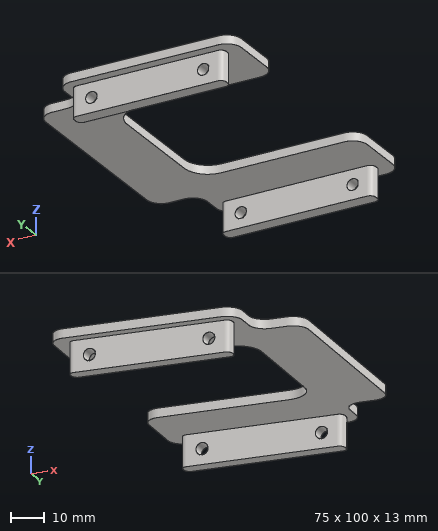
import cadquery as cq

length_x = 75.0
length_y = 100.0
plate_thickness = 3.0
arm_length = 60.0
spine_width_y = 70.0
corner_radius = 5.0

opening_depth = 54.8
opening_width = 50.0
opening_radius = 8.0

flange_length = 51.6
flange_thickness = 4.6
flange_height = 10.0
flange_radius = 1.8
flange_start = 5.2
flange_inset = 3.2

hole_diameter = 3.8
hole_spacing = 38.0
hole_depth_below_plate = 5.0
hole_start = 12.0

left = -length_x / 2


def make_plate():
    """Stepped C-shaped plate with rounded corners."""
    arms = cq.Workplane("XY").box(arm_length, length_y, plate_thickness, centered=(False, True, False))
    spine = cq.Workplane("XY").box(length_x, spine_width_y, plate_thickness, centered=(False, True, False))
    opening = cq.Workplane("XY").box(opening_depth, opening_width, plate_thickness, centered=(False, True, False))
    plate = arms.union(spine).edges("|Z and (not <X)").fillet(corner_radius)
    opening = opening.edges("|Z and >X").fillet(opening_radius)
    plate = plate.cut(opening).edges("|Z and <X").fillet(corner_radius)
    return plate.translate((left, 0, 0))


def make_flange(side):
    """Rounded flange below one arm; side is +1 for +Y and -1 for -Y."""
    center_x = left + flange_start + flange_length / 2
    center_y = side * (length_y / 2 - flange_inset - flange_thickness / 2)
    return (
        cq.Workplane("XY")
        .box(flange_length, flange_thickness, flange_height, centered=(True, True, False))
        .edges("|Z")
        .fillet(flange_radius)
        .translate((center_x, center_y, -flange_height))
    )


def make_hole(index):
    """Cutter along Y that drills both flanges at one hole position."""
    x = left + hole_start + index * hole_spacing
    return (
        cq.Workplane("XZ")
        .center(x, -hole_depth_below_plate)
        .circle(hole_diameter / 2)
        .extrude(length_y / 2, both=True)
    )


result = make_plate()
for side in (-1, 1):
    result = result.union(make_flange(side))
for index in range(2):
    result = result.cut(make_hole(index))